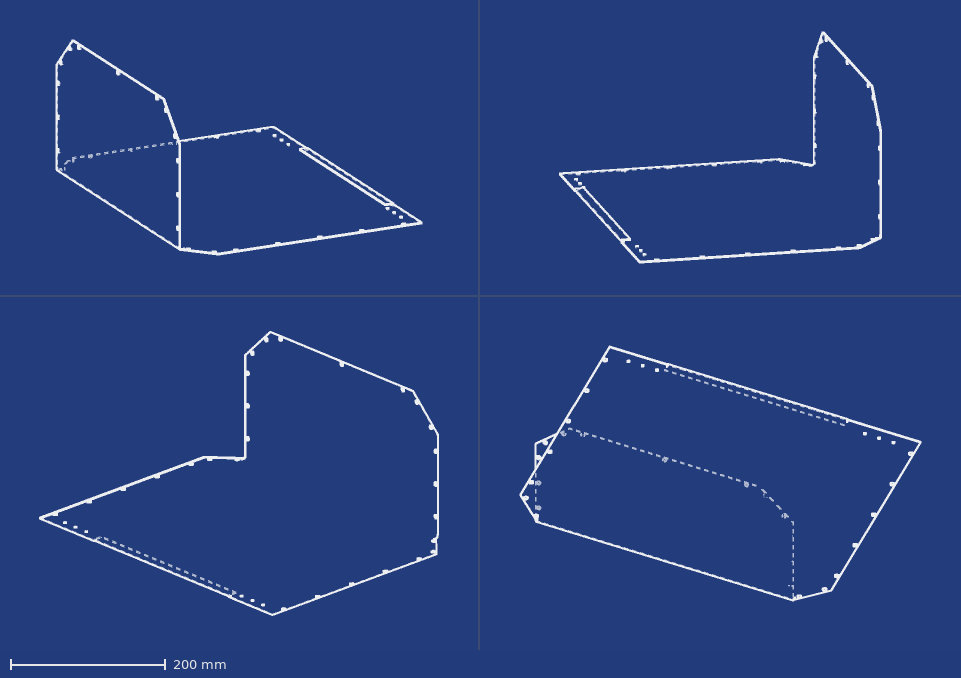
import cadquery as cq

width = 437.5
depth = 330.5
height = 192.0

sheet = 1.7
bend_inner = 1.8
bend_outer = bend_inner + sheet
bend_relief_width = 0.5
bend_relief_floor = 7.5
bend_relief_wall = 5.0

wall_half_width = 181.0
floor_cut_depth = 38.0
wall_cut = 47.3

hem_gap = 0.25
hem_half_width = 126.5
hem_offset_x = 10.0
hem_relief_width = 0.5
hem_relief_depth = 4.0
hem_depth = 12.3
hem_outer = sheet + hem_gap / 2

edge_hole_diameter = 5.3
edge_hole_inset = 4.0
floor_hole_x = width / 2 - edge_hole_inset
floor_hole_first_y = 65.0
floor_hole_pitch = 60.5
floor_hole_count = 5
floor_cut_holes = [(210.0, 36.5), (185.0, 11.5)]
wall_hole_x = wall_half_width - edge_hole_inset
wall_hole_first_z = 29.0
wall_hole_pitch = 46.0
wall_hole_count = 3
wall_cut_holes = [(168.0, 152.0), (142.0, 179.0)]
wall_top_hole_x = 115.0
wall_top_hole_z = height - edge_hole_inset

small_hole_diameter = 3.0
small_hole_first_x = 146.0
small_hole_pitch = 20.0
small_hole_count = 3
small_hole_inset = 14.0
small_hole_y = depth - small_hole_inset


def mirrored(points):
    """Return the points together with their mirror images about x = 0."""
    return points + [(-x, y) for x, y in points]


def make_floor():
    """Flat floor whose front corners slope in to the width of the wall."""
    right_side = [(wall_half_width, bend_outer), (width / 2, floor_cut_depth), (width / 2, depth)]
    left_side = [(-x, y) for x, y in reversed(right_side)]
    return cq.Workplane("XY").polyline(right_side + left_side).close().extrude(sheet)


def make_wall():
    """Upright front wall with its two top corners cut off at 45 degrees."""
    right_side = [
        (wall_half_width, bend_outer),
        (wall_half_width, height - wall_cut),
        (wall_half_width - wall_cut, height),
    ]
    left_side = [(-x, z) for x, z in reversed(right_side)]
    return cq.Workplane("XZ").polyline(right_side + left_side).close().extrude(-sheet)


def make_bend():
    """Quarter-round bend that joins the floor to the wall."""
    quarter = cq.Workplane("YZ").center(bend_outer, bend_outer).circle(bend_outer).circle(bend_inner)
    ring = quarter.extrude(wall_half_width, both=True)
    corner = cq.Workplane("XY").box(width, bend_outer, bend_outer, centered=(True, False, False))
    return ring.intersect(corner)


def make_hem():
    """Strip of sheet folded back over the floor by a half-round bend."""
    top = 2 * hem_outer
    bend_y = depth - hem_outer
    profile = (
        cq.Workplane("YZ")
        .moveTo(bend_y, 0)
        .threePointArc((depth, hem_outer), (bend_y, top))
        .lineTo(depth - hem_depth, top)
        .lineTo(depth - hem_depth, top - sheet)
        .lineTo(bend_y, top - sheet)
        .threePointArc((bend_y + hem_gap / 2, hem_outer), (bend_y, sheet))
        .close()
    )
    return profile.extrude(hem_half_width, both=True).translate((hem_offset_x, 0, 0))


def make_hem_clearance():
    """Floor edge replaced by the hem bend, with a narrow relief slot at each end of the bend."""
    bend_strip = (
        cq.Workplane("XY")
        .box(2 * hem_half_width, hem_outer, sheet, centered=(True, False, False))
        .translate((hem_offset_x, depth - hem_outer, 0))
    )
    slot_x = hem_half_width + hem_relief_width / 2
    slots = (
        cq.Workplane("XY")
        .pushPoints([(hem_offset_x + slot_x, depth), (hem_offset_x - slot_x, depth)])
        .rect(hem_relief_width, 2 * hem_relief_depth)
        .extrude(sheet)
    )
    return bend_strip.union(slots)


def make_bend_relief():
    """Narrow notches that clear both ends of the bend between floor and wall."""
    notch_x = wall_half_width - bend_relief_width / 2
    return (
        cq.Workplane("XZ")
        .pushPoints(mirrored([(notch_x, 0)]))
        .rect(bend_relief_width, 2 * bend_relief_wall)
        .extrude(-bend_relief_floor)
    )


def make_floor_holes():
    """Holes along the sides and corner cuts of the floor, and the small ones beside the hem."""
    side = [(floor_hole_x, floor_hole_first_y + i * floor_hole_pitch) for i in range(floor_hole_count)]
    small = [(small_hole_first_x + i * small_hole_pitch, small_hole_y) for i in range(small_hole_count)]
    edge_cut = cq.Workplane("XY").pushPoints(mirrored(side + floor_cut_holes)).circle(edge_hole_diameter / 2)
    small_cut = cq.Workplane("XY").pushPoints(mirrored(small)).circle(small_hole_diameter / 2)
    return edge_cut.extrude(sheet).union(small_cut.extrude(sheet))


def make_wall_holes():
    """Holes along the sides, corner cuts and top edge of the wall."""
    side = [(wall_hole_x, wall_hole_first_z + i * wall_hole_pitch) for i in range(wall_hole_count)]
    top = [(wall_top_hole_x, wall_top_hole_z)]
    centres = mirrored(side + wall_cut_holes + top) + [(0, wall_top_hole_z)]
    return cq.Workplane("XZ").pushPoints(centres).circle(edge_hole_diameter / 2).extrude(-sheet)


floor = make_floor().cut(make_hem_clearance()).cut(make_floor_holes())
wall = make_wall().cut(make_wall_holes())
result = floor.union(make_hem()).union(make_bend()).union(wall).cut(make_bend_relief())